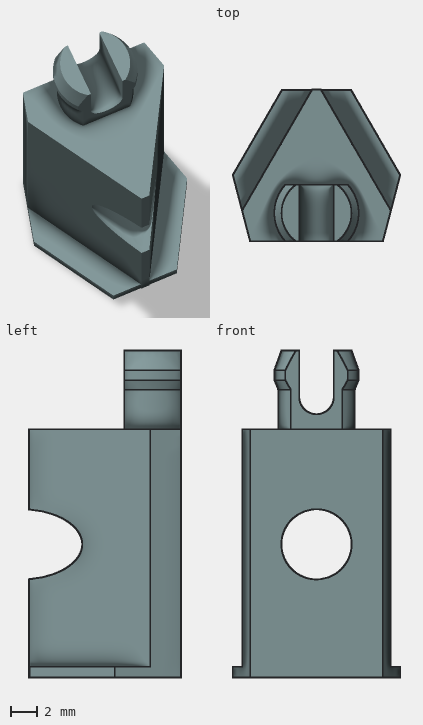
import cadquery as cq

front_half_width = 5.02
block_height = 18.79
block_depth = 11.5
tip_half_width = 0.32
block_corner_y = 2.33
plate_thickness = 0.82
plate_depth = 11.45
plate_half_width = 6.34
plate_corner_y = 5.02
plate_back_half_width = 2.62

side_slope = (plate_half_width - front_half_width) / plate_corner_y
block_corner_half_width = front_half_width + side_slope * block_corner_y

peg_shank_radius = 2.9
peg_rim_radius = 3.2
peg_tip_radius = 2.65
peg_shank_height = 2.97
peg_flare_height = 0.75
peg_rim_height = 0.75
peg_tip_height = 1.5
peg_thickness = 4.3
slot_width = 2.6
slot_depth = 4.83
peg_height = peg_shank_height + peg_flare_height + peg_rim_height + peg_tip_height
peg_center_y = peg_thickness / 2

socket_radius = peg_tip_radius
socket_center_z = 10.07
groove_radius = 3.12
groove_start_y = 2.45
groove_flare_length = 0.75
groove_floor_length = 0.5
groove_taper_length = 1.24


def symmetric_prism(right_side, height):
    """Prism on the XY plane whose outline mirrors the right-hand points across X = 0."""
    left_side = [(-x, y) for x, y in reversed(right_side)]
    return cq.Workplane("XY").polyline(right_side + left_side).close().extrude(height)


def make_socket_cutter():
    """Through hole along Y, widened by a groove with sloping ends."""
    floor_start_y = groove_start_y + groove_flare_length
    floor_end_y = floor_start_y + groove_floor_length
    groove_end_y = floor_end_y + groove_taper_length
    profile = [
        (0, 0),
        (socket_radius, 0),
        (socket_radius, groove_start_y),
        (groove_radius, floor_start_y),
        (groove_radius, floor_end_y),
        (socket_radius, groove_end_y),
        (socket_radius, block_depth),
        (0, block_depth),
    ]
    cutter = cq.Workplane("XY").polyline(profile).close().revolve(360, (0, 0, 0), (0, 1, 0))
    return cutter.translate((0, 0, socket_center_z))


def make_block():
    column = symmetric_prism(
        [
            (front_half_width, 0),
            (block_corner_half_width, block_corner_y),
            (tip_half_width, block_depth),
        ],
        block_height,
    )
    plate = symmetric_prism(
        [
            (front_half_width, 0),
            (plate_half_width, plate_corner_y),
            (plate_back_half_width, plate_depth),
        ],
        plate_thickness,
    )
    return column.union(plate).cut(make_socket_cutter())


def make_peg():
    flare_top = peg_shank_height + peg_flare_height
    rim_top = flare_top + peg_rim_height
    profile = [
        (0, 0),
        (peg_shank_radius, 0),
        (peg_shank_radius, peg_shank_height),
        (peg_rim_radius, flare_top),
        (peg_rim_radius, rim_top),
        (peg_tip_radius, peg_height),
        (0, peg_height),
    ]
    turned = cq.Workplane("XZ").polyline(profile).close().revolve(360, (0, 0, 0), (0, 1, 0))

    flat_sided = cq.Workplane("XY").box(
        2 * peg_rim_radius, peg_thickness, peg_height, centered=(True, True, False)
    )

    slot_round_z = peg_height - slot_depth + slot_width / 2
    slot = (
        cq.Workplane("XZ")
        .moveTo(-slot_width / 2, peg_height)
        .lineTo(-slot_width / 2, slot_round_z)
        .threePointArc((0, peg_height - slot_depth), (slot_width / 2, slot_round_z))
        .lineTo(slot_width / 2, peg_height)
        .close()
        .extrude(peg_thickness / 2, both=True)
    )
    peg = turned.intersect(flat_sided).cut(slot)
    return peg.translate((0, peg_center_y, block_height))


block = make_block()
peg = make_peg()

result = cq.Compound.makeCompound([block.val(), peg.val()])